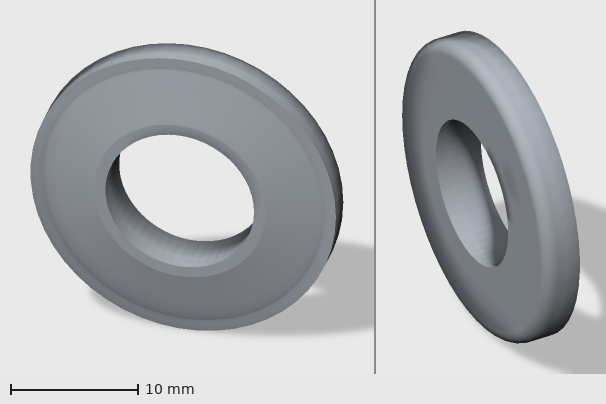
import cadquery as cq
import math

outer_radius = 12.48
rim_width = 0.97
ring_depth = 3.0
front_rise = 1.0
front_face_radius = 6.99
bore_radius = 6.06

seat_radius = outer_radius - rim_width
back_y = ring_depth
rounding_start_y = back_y - rim_width
arc_offset = rim_width * math.sqrt(0.5)
rounding_middle = (seat_radius + arc_offset, rounding_start_y + arc_offset)


def revolve_about_y(profile):
    """Turn a closed radius-Y profile into a full solid of revolution."""
    return profile.revolve(360, (0, 0, 0), (0, 1, 0))


def make_rim_ring():
    """Outer ring with a plain bore and a quarter-round back edge."""
    profile = (
        cq.Workplane("XY")
        .moveTo(seat_radius, 0)
        .lineTo(outer_radius, 0)
        .lineTo(outer_radius, rounding_start_y)
        .threePointArc(rounding_middle, (seat_radius, back_y))
        .close()
    )
    return revolve_about_y(profile)


def make_insert():
    """Bored disc filling the ring, with a conical front standing proud of it."""
    profile = (
        cq.Workplane("XY")
        .moveTo(bore_radius, -front_rise)
        .lineTo(front_face_radius, -front_rise)
        .lineTo(seat_radius, 0)
        .lineTo(seat_radius, back_y)
        .lineTo(bore_radius, back_y)
        .close()
    )
    return revolve_about_y(profile)


rim_ring = make_rim_ring()
insert = make_insert()

result = cq.Compound.makeCompound([rim_ring.val(), insert.val()])